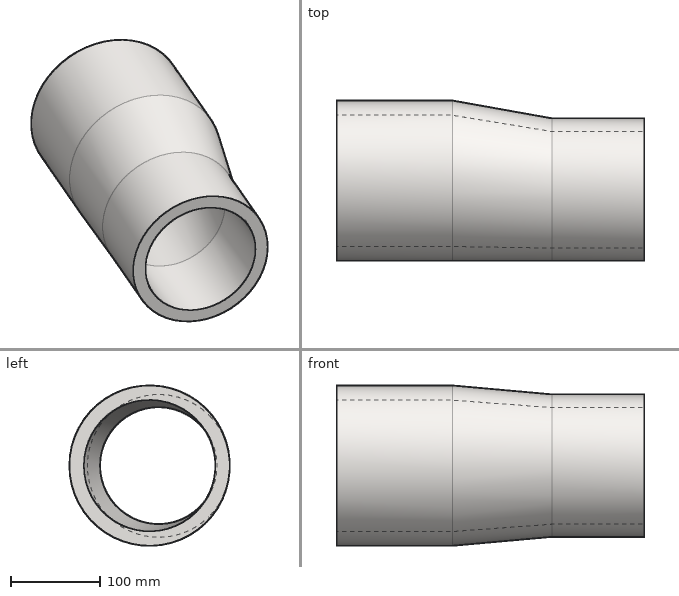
import cadquery as cq

total_length = 345.0
large_length = 129.5
taper_length = 111.8
small_length = total_length - large_length - taper_length

large_outer_diameter = 180.0
large_bore_diameter = 147.3
small_outer_diameter = 160.0
small_bore_diameter = 130.8

small_axis_y = -(large_outer_diameter - small_outer_diameter) / 2

taper_start_x = large_length
taper_end_x = large_length + taper_length


def circle_at(x, y, diameter):
    """Circle facing +X, centred on the given X and Y."""
    return cq.Workplane("YZ", origin=(x, y, 0)).circle(diameter / 2)


def reducer_body(large_diameter, small_diameter):
    """Solid large cylinder, eccentric taper and small cylinder joined end to end."""
    large_end = circle_at(0, 0, large_diameter).extrude(large_length)
    taper = cq.Workplane(
        cq.Solid.makeLoft(
            [
                circle_at(taper_start_x, 0, large_diameter).wires().val(),
                circle_at(taper_end_x, small_axis_y, small_diameter).wires().val(),
            ],
            True,
        )
    )
    small_end = circle_at(taper_end_x, small_axis_y, small_diameter).extrude(small_length)
    return large_end.union(taper).union(small_end)


outside = reducer_body(large_outer_diameter, small_outer_diameter)
bore = reducer_body(large_bore_diameter, small_bore_diameter)

result = outside.cut(bore)